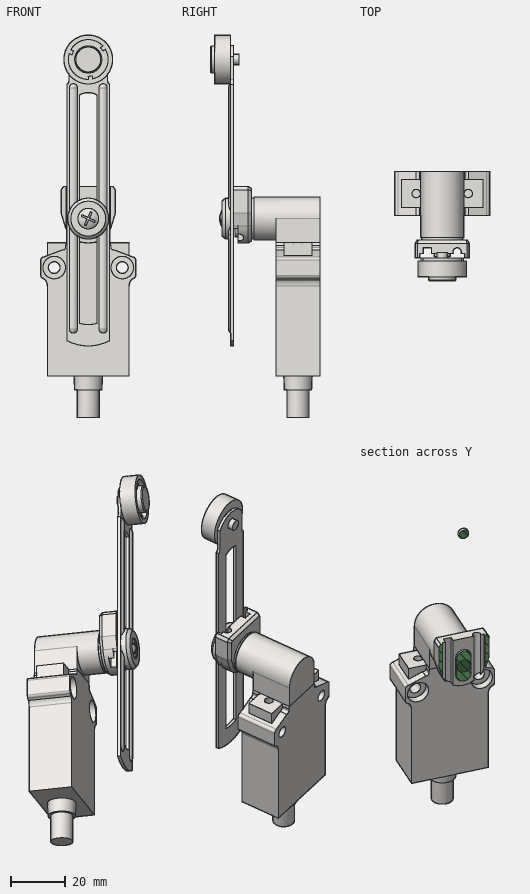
import cadquery as cq
import math


body_front = 16.3
barrel_front = 24.3
bracket_back = 25.1
channel_floor = 30.2
key_front = 31.3
arm_back = 31.7
arm_front = 32.9
flange_rim_front = 34.8
flange_front = 36.1
screw_front = 36.9
roller_front = 38.8
pin_front = 40.3

body_bottom = 15.2
block_top = 64.2
pivot_z = 73.0
roller_radius = 9.0
roller_z = 140.4 - roller_radius

barrel_radius = 15.9 / 2
body_half_width = 15.0
ear_half_width = 35.0 / 2
barrel_neck_radius = 7.6
ear_root_z = 48.3
ear_underside = (15.9, 50.5)
ear_lower_round = (16.7, 51.1)
ear_side_bottom = 52.1
ear_side_top = 57.8
ear_upper_round = (16.3, 59)
ear_slope_top = (9.5, 61.5)
shoulder_half_width = 8.3
shoulder_bottom = 62.3
shoulder_top = 63.2
block_back = 3.0
block_front = 13.2
block_base_z = 59
block_hole_x = 9.5
block_hole_radius = 1.5
block_hole_depth = 2.8
mount_x = 12.5
mount_z = 55.0
mount_radius = 4.2 / 2
counterbore_radius = 8.3 / 2
counterbore_depth = 3.0

cable_radius = 4.1
cable_y = -body_front / 2
boot_bottom = 10.1
boot_bottom_radius = 5.0
boot_top_radius = 10.5 / 2

bracket_half_width = 10.0
bracket_top = 84.8
bracket_radius = 9.0
bracket_side_bottom = 75.0
bracket_flank_x = 8.5
bracket_corner_x = 0.8
bracket_corner_z = 1.3
bracket_bevel_inset = 0.8
bracket_bevel_depth = 1.3
channel_half_width = 16.4 / 2
groove_bottom = 28.1
groove_half_width = 3.0 / 2
key_radius = 3.0
key_half_height = 6.7

arm_half_width = 7.9
arm_bottom = 26.3
arm_corner_z = 28.2
neck_bottom = 122.3
neck_top = 124.0
neck_middle_x = 7.3
neck_middle_z = 123.0
eye_half_width = 14.2 / 2
eye_side_top = 132.5
eye_top = 136.6
slot_half_width = 6.3 / 2
slot_bottom = 34.1
slot_bottom_corner_z = 34.5
slot_top_corner_z = 118.4
slot_top = 119.2
rib_x = 5.5
rib_radius = 1.8
rib_height = 0.77
rib_bottom = 32.5
rib_top = 121.0

flange_radius = 15.0 / 2
flange_face_radius = 12.8 / 2
dome_edge_radius = 3.8
dome_base = 35.5
shank_radius = 2.5
shank_back = 26.7
cross_angle = 65
cross_length = 5.3
cross_width = 0.7
cross_depth = 1.0

recess_radius = 7.3
recess_depth = 2.0
tab_inner_radius = 6.2
tab_width = 1.5
tab_count = 3
tab_first_angle = 37
pin_head_radius = 10.0 / 2
pin_head_chamfer = 0.4
pin_shank_radius = 2.0
pin_back = 29.8


def layer(distance):
    """Workplane facing -Y, a given distance in front of the back face."""
    return cq.Workplane("XZ", origin=(0, -distance, 0))


def disc(x, z, radius, back, front):
    """Cylinder along Y between two distances from the back face."""
    return layer(back).center(x, z).circle(radius).extrude(front - back)


def block(half_width, bottom, top, back, front):
    """Box centred on X = 0."""
    return (
        layer(back)
        .center(0, (bottom + top) / 2)
        .rect(2 * half_width, top - bottom)
        .extrude(front - back)
    )


def body_plate():
    """Flat body with an ear on each side; the ear tops slope up to the head."""
    right_side = (
        layer(0)
        .moveTo(0, body_bottom)
        .lineTo(body_half_width, body_bottom)
        .lineTo(body_half_width, ear_root_z)
        .threePointArc((15.3, 49.5), ear_underside)
        .lineTo(*ear_lower_round)
        .threePointArc((17.3, 51.5), (ear_half_width, ear_side_bottom))
        .lineTo(ear_half_width, ear_side_top)
        .threePointArc((17.1, 58.5), ear_upper_round)
        .lineTo(*ear_slope_top)
        .threePointArc((8.5, 61.8), (shoulder_half_width, shoulder_bottom))
        .lineTo(shoulder_half_width, shoulder_top)
        .lineTo(barrel_radius, block_top)
        .lineTo(0, block_top)
        .close()
        .extrude(body_front)
    )
    return right_side.union(right_side.mirror("YZ"))


def make_body():
    body = body_plate()

    body = body.union(block(body_half_width, block_base_z, block_top, block_back, block_front))
    block_holes = (
        cq.Workplane("XY", origin=(0, -body_front / 2, block_top - block_hole_depth))
        .pushPoints([(-block_hole_x, 0), (block_hole_x, 0)])
        .circle(block_hole_radius)
        .extrude(block_hole_depth)
    )
    body = body.cut(block_holes)

    counterbore_floor = body_front - counterbore_depth
    for x in (-mount_x, mount_x):
        body = body.cut(disc(x, mount_z, mount_radius, 0, body_front))
        body = body.cut(disc(x, mount_z, counterbore_radius, counterbore_floor, body_front))
    return body


def make_head():
    """Pivot head: a barrel on a straight pedestal, with a thinner neck at the bracket."""
    pedestal = block(barrel_radius, block_top, pivot_z, 0, body_front)
    barrel = disc(0, pivot_z, barrel_radius, 0, barrel_front)
    neck = disc(0, pivot_z, barrel_neck_radius, barrel_front, bracket_back)
    return pedestal.union(barrel).union(neck)


def make_cable():
    """Cable ending in a boot that widens toward the body."""
    profile = [
        (0, 0),
        (cable_radius, 0),
        (cable_radius, boot_bottom),
        (boot_bottom_radius, boot_bottom),
        (boot_top_radius, body_bottom),
        (0, body_bottom),
    ]
    cable = cq.Workplane("XZ").polyline(profile).close().revolve(360, (0, 0, 0), (0, 1, 0))
    return cable.translate((0, cable_y, 0))


def bracket_outline(distance):
    """Shield outline: bevelled top corners, slanted flanks and a round bottom."""
    flank_drop = math.sqrt(bracket_radius**2 - bracket_flank_x**2)
    flank_z = pivot_z - flank_drop
    corner_x = bracket_half_width - bracket_corner_x
    corner_z = bracket_top - bracket_corner_z
    return (
        layer(distance)
        .moveTo(-corner_x, bracket_top)
        .lineTo(corner_x, bracket_top)
        .lineTo(bracket_half_width, corner_z)
        .lineTo(bracket_half_width, bracket_side_bottom)
        .lineTo(bracket_flank_x, flank_z)
        .threePointArc((0, pivot_z - bracket_radius), (-bracket_flank_x, flank_z))
        .lineTo(-bracket_half_width, bracket_side_bottom)
        .lineTo(-bracket_half_width, corner_z)
        .close()
    )


def make_bracket():
    full_back = bracket_back + bracket_bevel_depth
    bevel_angle = math.degrees(math.atan2(bracket_bevel_inset, bracket_bevel_depth))
    bracket = bracket_outline(full_back).extrude(arm_back - full_back)
    bracket = bracket.union(bracket_outline(full_back).extrude(-bracket_bevel_depth, taper=bevel_angle))

    bottom = pivot_z - bracket_radius
    channel = block(channel_half_width, bottom, bracket_top, channel_floor, arm_back)
    key = (
        layer(channel_floor)
        .center(0, pivot_z)
        .slot2D(2 * key_half_height, 2 * key_radius, 90)
        .extrude(key_front - channel_floor)
    )
    bracket = bracket.cut(channel).union(key)

    square_groove = block(groove_half_width, bottom, bracket_top, groove_bottom, channel_floor)
    square_groove = square_groove.translate((-rib_x, 0, 0))
    round_groove = (
        cq.Workplane("XY", origin=(rib_x, -groove_bottom - groove_half_width, bottom))
        .circle(groove_half_width)
        .extrude(bracket_top - bottom)
    )
    bracket = bracket.cut(square_groove).cut(round_groove)

    return bracket.cut(disc(0, pivot_z, shank_radius, shank_back, arm_back))


def make_rib(x):
    """Round-ended bead standing on the front of the arm."""
    axis_distance = arm_front + rib_height - rib_radius
    bead = cq.Workplane("XY").circle(rib_radius).extrude(rib_top - rib_bottom)
    for end_z in (0, rib_top - rib_bottom):
        bead = bead.union(cq.Workplane("XY").sphere(rib_radius).translate((0, 0, end_z)))
    bead = bead.translate((x, -axis_distance, rib_bottom))
    return bead.intersect(block(arm_half_width, arm_bottom, eye_top, arm_back, roller_front))


def make_arm():
    thickness = arm_front - arm_back
    arm = (
        layer(arm_back)
        .moveTo(arm_half_width, arm_corner_z)
        .lineTo(arm_half_width, neck_bottom)
        .threePointArc((neck_middle_x, neck_middle_z), (eye_half_width, neck_top))
        .lineTo(eye_half_width, eye_side_top)
        .threePointArc((0, eye_top), (-eye_half_width, eye_side_top))
        .lineTo(-eye_half_width, neck_top)
        .threePointArc((-neck_middle_x, neck_middle_z), (-arm_half_width, neck_bottom))
        .lineTo(-arm_half_width, arm_corner_z)
        .threePointArc((0, arm_bottom), (arm_half_width, arm_corner_z))
        .close()
        .extrude(thickness)
    )
    slot = (
        layer(arm_back)
        .moveTo(slot_half_width, slot_bottom_corner_z)
        .lineTo(slot_half_width, slot_top_corner_z)
        .threePointArc((0, slot_top), (-slot_half_width, slot_top_corner_z))
        .lineTo(-slot_half_width, slot_bottom_corner_z)
        .threePointArc((0, slot_bottom), (slot_half_width, slot_bottom_corner_z))
        .close()
        .extrude(thickness)
    )
    for x in (-rib_x, rib_x):
        arm = arm.union(make_rib(x))
    return arm.cut(slot).cut(disc(0, roller_z, pin_shank_radius, arm_back, arm_front))


def turned(profile, z):
    """Solid of revolution about a Y axis; the profile is (radius, distance) pairs."""
    points = [(radius, -distance) for radius, distance in profile]
    solid = cq.Workplane("XY").polyline(points).close().revolve(360, (0, 0, 0), (0, 1, 0))
    return solid.translate((0, 0, z))


def make_screw(lever_arm):
    """Clamping screw with a conical flange that is grooved to clear the ribs of the arm."""
    profile = [
        (0, shank_back),
        (shank_radius, shank_back),
        (shank_radius, arm_front),
        (flange_radius, arm_front),
        (flange_radius, flange_rim_front),
        (flange_face_radius, flange_front),
        (dome_edge_radius, flange_front),
        (dome_edge_radius, dome_base),
        (0, dome_base),
    ]
    screw = turned(profile, pivot_z).cut(lever_arm)

    dome_height = screw_front - dome_base
    dome_radius = (dome_edge_radius**2 + dome_height**2) / (2 * dome_height)
    sphere = cq.Workplane("XY").sphere(dome_radius).translate((0, dome_radius - screw_front, pivot_z))
    dome = sphere.intersect(disc(0, pivot_z, dome_edge_radius, dome_base, screw_front))
    screw = screw.union(dome)

    for angle in (cross_angle, cross_angle + 90):
        blade = (
            layer(screw_front - cross_depth)
            .center(0, pivot_z)
            .transformed(rotate=(0, 0, angle))
            .rect(cross_width, cross_length)
            .extrude(cross_depth)
        )
        screw = screw.cut(blade)
    return screw


def make_roller():
    """Roller with a bored centre and a front recess that has inward tabs."""
    recess_floor = roller_front - recess_depth
    roller = disc(0, roller_z, roller_radius, arm_front, roller_front)
    roller = roller.cut(disc(0, roller_z, recess_radius, recess_floor, roller_front))
    tab_length = (recess_radius + roller_radius) / 2 - tab_inner_radius
    for index in range(tab_count):
        tab = (
            layer(recess_floor)
            .center(0, roller_z)
            .transformed(rotate=(0, 0, tab_first_angle + index * 360 / tab_count))
            .center(tab_inner_radius + tab_length / 2, 0)
            .rect(tab_length, tab_width)
            .extrude(recess_depth)
        )
        roller = roller.union(tab)
    return roller.cut(disc(0, roller_z, pin_head_radius, arm_front, roller_front))


def make_roller_pin():
    """Pin that carries the roller and passes through the arm."""
    profile = [
        (0, pin_back),
        (pin_shank_radius, pin_back),
        (pin_shank_radius, arm_front),
        (pin_head_radius, arm_front),
        (pin_head_radius, pin_front - pin_head_chamfer),
        (pin_head_radius - pin_head_chamfer, pin_front),
        (0, pin_front),
    ]
    return turned(profile, roller_z)


body = make_body()
head = make_head()
cable = make_cable()
bracket = make_bracket()
arm = make_arm()
screw = make_screw(arm)
roller = make_roller()
roller_pin = make_roller_pin()

result = cq.Compound.makeCompound([
    body.val(),
    head.val(),
    cable.val(),
    bracket.val(),
    arm.val(),
    screw.val(),
    roller.val(),
    roller_pin.val(),
])